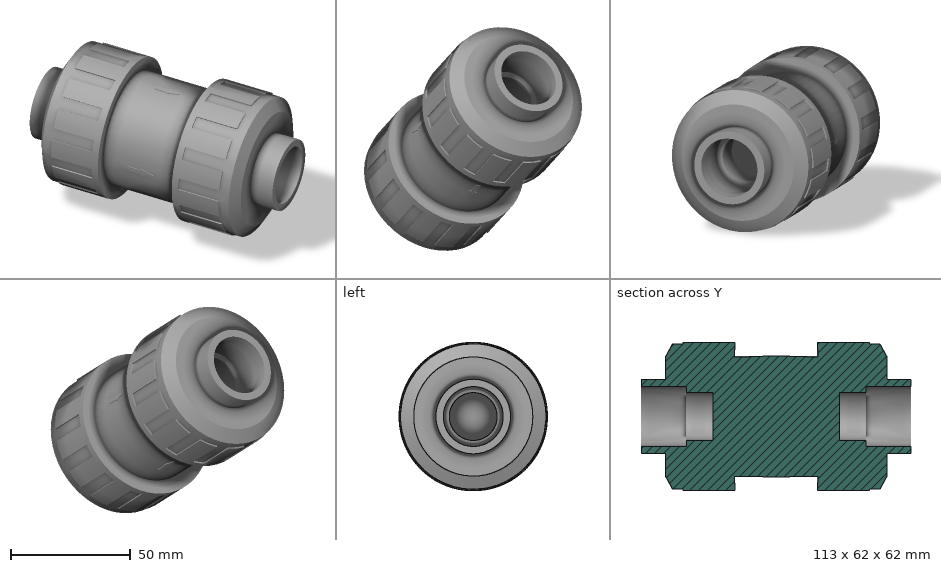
import cadquery as cq
import math


total_length = 113.0
pipe_radius = 15.6
socket_radius = 12.5
socket_depth = 19.0
bore_radius = 10.0
bore_depth = 30.0

body_radius = 25.1

nut_radius = 31.0
grip_depth = 0.6
groove_radius = nut_radius - grip_depth
nut_face_radius = 24.9
nut_inner_end = 17.2
nut_outer_end = 46.4
chamfer_length = 3.0
collar_length = 3.0
collar_end = nut_inner_end + collar_length
rib_end = 39.0
recess_radius = 28.0
recess_depth = 0.2

rib_count = 14
rib_pitch = 360.0 / rib_count
rib_angle = 15.7
first_rib_angle = -rib_pitch / 5.0
rib_root_depth = 2.0
rib_root_radius = groove_radius - rib_root_depth

arrow_count = 4
arrow_height = 0.3
arrow_length = 11.4
arrow_half_length = arrow_length / 2.0
stem_half_width = 1.0
head_half_width = 1.6


def cylinder_x(radius, start, end):
    """Solid cylinder on the X axis between two X positions."""
    return cq.Workplane("YZ", origin=(start, 0, 0)).circle(radius).extrude(end - start)


def on_circle(radius, angle):
    """(Y, Z) point at an angle from -Y towards +Z."""
    return (-radius * math.cos(math.radians(angle)), radius * math.sin(math.radians(angle)))


def make_rib():
    """One rib: a ring sector of the nut, rooted below the groove floor, centred on -Y."""
    half_angle = rib_angle / 2.0
    return (
        cq.Workplane("YZ", origin=(collar_end, 0, 0))
        .moveTo(*on_circle(rib_root_radius, -half_angle))
        .threePointArc(on_circle(rib_root_radius, 0), on_circle(rib_root_radius, half_angle))
        .lineTo(*on_circle(nut_radius, half_angle))
        .threePointArc(on_circle(nut_radius, 0), on_circle(nut_radius, -half_angle))
        .close()
        .extrude(rib_end - collar_end)
    )


def make_nut():
    """Right-hand union nut: collar, grip ribs, outer chamfer and shallow inner recess."""
    chamfer_depth = groove_radius - nut_face_radius
    nut = (
        cylinder_x(groove_radius, nut_inner_end, nut_outer_end)
        .faces(">X")
        .chamfer(chamfer_length, chamfer_depth)
        .union(cylinder_x(nut_radius, nut_inner_end, collar_end))
    )
    rib = make_rib()
    for index in range(rib_count):
        angle = -(first_rib_angle + index * rib_pitch)
        nut = nut.union(rib.rotate((0, 0, 0), (1, 0, 0), angle))
    recess = cylinder_x(recess_radius, nut_inner_end, nut_inner_end + recess_depth)
    return nut.cut(recess)


def make_arrows():
    """Arrows pointing to +X, wrapped on the body at its four sides."""
    outline = (
        cq.Workplane("XY")
        .moveTo(-arrow_half_length, -stem_half_width)
        .lineTo(0, -stem_half_width)
        .lineTo(0, -head_half_width)
        .lineTo(arrow_half_length, 0)
        .lineTo(0, head_half_width)
        .lineTo(0, stem_half_width)
        .lineTo(-arrow_half_length, stem_half_width)
        .close()
        .extrude(nut_radius)
    )
    arrow_shell = cylinder_x(body_radius + arrow_height, -arrow_half_length, arrow_half_length)
    arrow = outline.intersect(arrow_shell)
    arrows = arrow
    for index in range(1, arrow_count):
        arrows = arrows.union(arrow.rotate((0, 0, 0), (1, 0, 0), index * 360.0 / arrow_count))
    return arrows


def make_pipe_hole():
    """Right-hand pipe socket with the narrower blind bore behind it."""
    end = total_length / 2.0
    socket = cylinder_x(socket_radius, end - socket_depth, end)
    bore = cylinder_x(bore_radius, end - bore_depth, end)
    return socket.union(bore)


def turn_around(shape):
    """Half turn about Z, taking a right-hand feature to the left-hand end."""
    return shape.rotate((0, 0, 0), (0, 0, 1), 180)


nut_right = make_nut()
hole_right = make_pipe_hole()

result = (
    cylinder_x(pipe_radius, -total_length / 2.0, total_length / 2.0)
    .union(cylinder_x(body_radius, -rib_end, rib_end))
    .union(nut_right)
    .union(turn_around(nut_right))
    .union(make_arrows())
    .cut(hole_right)
    .cut(turn_around(hole_right))
    .clean()
)